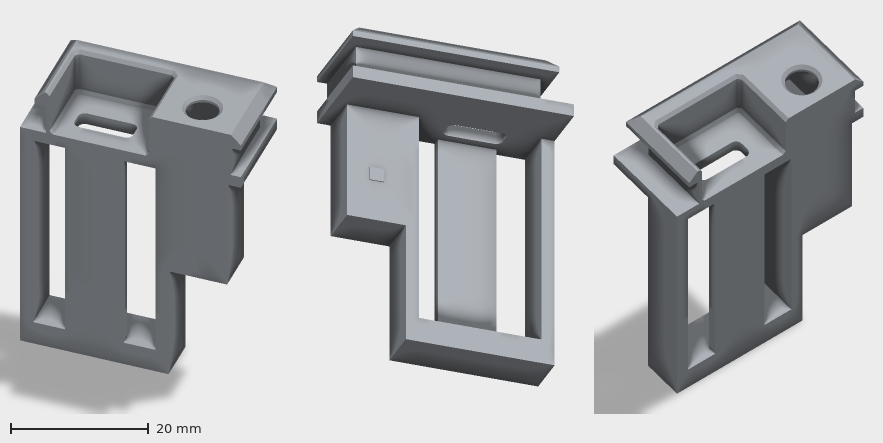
import cadquery as cq

WIDTH = 34.25
DEPTH = 15.0
HEIGHT = 46.3

FRAME_WIDTH = 23.05
BODY_DEPTH = 6.9
WALL = 2.05
BLOCK_RIGHT = 32.15
BLOCK_BOTTOM = 18.8

SILL_TOP = 3.9
STRIP_WIDTH = 9.07
STRIP_THICKNESS = 1.45

FLANGE_BOTTOM = 37.05
FLANGE_TOP = 39.0
NECK_LEFT = 4.07
NECK_RIGHT = 32.7
NECK_DEPTH = 12.05
HEAD_LEFT = 2.25
HEAD_BOTTOM = 43.85
HEAD_CHAMFER = 1.55

POCKET_LEFT = 4.6
POCKET_RIGHT = 20.0
POCKET_DEPTH = 10.95
SMALL_CHAMFER = 0.5

SLOT_WIDTH = 3.43
SLOT_Y = 4.7
SLOT_CORNER_RADIUS = 1.0

HOLE_X = 26.58
HOLE_Y = 4.68
HOLE_DIAMETER = 4.95
CAVITY_WIDTH = 5.2
CAVITY_TOP = 45.37

PAD_SIZE = 2.15
PAD_HEIGHT = 0.2
PAD_Z = 26.3


def box(x_range, y_range, z_range):
    """Axis-aligned box between the given limits."""
    (x0, x1), (y0, y1), (z0, z1) = x_range, y_range, z_range
    return cq.Workplane("XY").box(x1 - x0, y1 - y0, z1 - z0, centered=False).translate((x0, y0, z0))


def make_head():
    """Overhanging head with its top edge chamfered on the left, right and back."""
    head = box((HEAD_LEFT, WIDTH), (0, DEPTH), (HEAD_BOTTOM, HEIGHT))
    return head.faces(">Z").edges("<X or >X or >Y").chamfer(HEAD_CHAMFER)


def make_frame_space(bottom, top):
    """Space through the frame between two heights, leaving out the strip at its front."""
    strip_left = (FRAME_WIDTH - STRIP_WIDTH) / 2
    space = box((WALL, FRAME_WIDTH - WALL), (0, BODY_DEPTH), (bottom, top))
    strip = box((strip_left, strip_left + STRIP_WIDTH), (0, STRIP_THICKNESS), (bottom, top))
    return space.cut(strip)


def make_pocket():
    """Pocket with chamfered back corners, floor edges and rim."""
    front = -2 * SMALL_CHAMFER
    outline = [
        (POCKET_LEFT, front),
        (POCKET_RIGHT, front),
        (POCKET_RIGHT, POCKET_DEPTH - SMALL_CHAMFER),
        (POCKET_RIGHT - SMALL_CHAMFER, POCKET_DEPTH),
        (POCKET_LEFT + SMALL_CHAMFER, POCKET_DEPTH),
        (POCKET_LEFT, POCKET_DEPTH - SMALL_CHAMFER),
    ]
    pocket = cq.Workplane("XY", origin=(0, 0, FLANGE_TOP))
    pocket = pocket.polyline(outline).close().extrude(HEIGHT - FLANGE_TOP)
    pocket = pocket.faces("<Z").edges().chamfer(SMALL_CHAMFER)
    rim = cq.Workplane("XY", origin=(0, 0, HEIGHT - SMALL_CHAMFER))
    rim = rim.polyline(outline).close().extrude(SMALL_CHAMFER, taper=-45)
    return pocket.union(rim)


def make_slot():
    """Rounded slot through the pocket floor, as long as the strip is wide."""
    slot = cq.Workplane("XY").rect(STRIP_WIDTH, SLOT_WIDTH).extrude(FLANGE_TOP - FLANGE_BOTTOM)
    slot = slot.edges("|Z").fillet(SLOT_CORNER_RADIUS)
    return slot.translate((FRAME_WIDTH / 2, SLOT_Y, FLANGE_BOTTOM))


def make_hole():
    """Hole with a countersunk mouth, reaching down into the cavity."""
    radius = HOLE_DIAMETER / 2
    profile = [
        (0, CAVITY_TOP),
        (radius, CAVITY_TOP),
        (radius, HEIGHT - SMALL_CHAMFER),
        (radius + SMALL_CHAMFER, HEIGHT),
        (0, HEIGHT),
    ]
    hole = cq.Workplane("XZ").polyline(profile).close().revolve(360, (0, 0), (0, 1))
    return hole.translate((HOLE_X, HOLE_Y, 0))


def make_cavity():
    """Closed cavity below the hole, from one wall behind the front to the pocket's depth."""
    sides = (HOLE_X - CAVITY_WIDTH / 2, HOLE_X + CAVITY_WIDTH / 2)
    return box(sides, (WALL, POCKET_DEPTH), (FLANGE_TOP, CAVITY_TOP))


def make_housing():
    """Frame, side block, flange, neck and head in one piece."""
    frame = box((0, FRAME_WIDTH), (0, BODY_DEPTH), (0, FLANGE_BOTTOM))
    block = box((FRAME_WIDTH, BLOCK_RIGHT), (0, BODY_DEPTH), (BLOCK_BOTTOM, FLANGE_BOTTOM))
    flange = box((0, WIDTH), (0, DEPTH), (FLANGE_BOTTOM, FLANGE_TOP))
    neck = box((NECK_LEFT, NECK_RIGHT), (0, NECK_DEPTH), (FLANGE_TOP, HEAD_BOTTOM))
    housing = frame.union(block).union(flange).union(neck).union(make_head())
    housing = housing.cut(make_frame_space(WALL, FLANGE_BOTTOM)).cut(make_pocket()).cut(make_slot())
    return housing.cut(make_hole()).cut(make_cavity())


def make_pad():
    """Small square pad standing on the back of the side block."""
    left = (FRAME_WIDTH + BLOCK_RIGHT - PAD_SIZE) / 2
    bottom = PAD_Z - PAD_SIZE / 2
    return box(
        (left, left + PAD_SIZE),
        (BODY_DEPTH, BODY_DEPTH + PAD_HEIGHT),
        (bottom, bottom + PAD_SIZE),
    )


def make_sill_bar():
    """Bar filling the bottom of the frame opening, notched around the strip."""
    return make_frame_space(WALL, SILL_TOP)


housing = make_housing()
pad = make_pad()
sill_bar = make_sill_bar()
result = cq.Compound.makeCompound([housing.val(), pad.val(), sill_bar.val()])